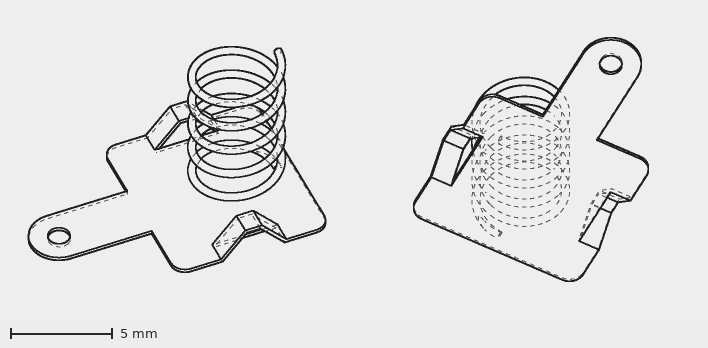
import cadquery as cq
import math

plate_width = 9.3
plate_length = 8.2
thickness = 0.2
corner_radius = 0.75

part_length = 14.0
tab_width = 3.0
tab_hole_diameter = 1.1

clip_width = 1.1
clip_length = 3.5
clip_crest_length = 0.9
clip_height = 1.7

part_height = 8.6
wire_diameter = 0.4
spring_outer_diameter = 4.8
spring_turns = 5
floor_gap = 0.01
spring_inset = 3.0

plate_back_y = plate_length / 2
tab_radius = tab_width / 2
tab_end_y = plate_back_y - part_length
tab_hole_y = tab_end_y + tab_radius

wire_radius = wire_diameter / 2
coil_radius = spring_outer_diameter / 2 - wire_radius
spring_axis_y = plate_back_y - spring_inset
spring_start_z = floor_gap + wire_radius
spring_rise = part_height - wire_radius - spring_start_z


def make_plate():
    """Rounded plate with a round-ended, pierced solder tab."""
    plate = (
        cq.Workplane("XY")
        .rect(plate_width, plate_length)
        .extrude(thickness)
        .edges("|Z")
        .fillet(corner_radius)
    )
    tab = (
        cq.Workplane("XY")
        .moveTo(-tab_radius, 0)
        .lineTo(-tab_radius, tab_hole_y)
        .threePointArc((0, tab_end_y), (tab_radius, tab_hole_y))
        .lineTo(tab_radius, 0)
        .close()
        .extrude(thickness)
    )
    tab_hole = (
        cq.Workplane("XY")
        .center(0, tab_hole_y)
        .circle(tab_hole_diameter / 2)
        .extrude(thickness)
    )
    return plate.union(tab).cut(tab_hole)


def clip_prism(points, side):
    """Extrude a YZ outline over the width of the clip on one side (-1 or +1)."""
    inner_x = plate_width / 2 - clip_width
    start_x = inner_x if side > 0 else -plate_width / 2
    return (
        cq.Workplane("YZ", origin=(start_x, 0, 0))
        .polyline(points)
        .close()
        .extrude(clip_width)
    )


def add_clip(plate, side):
    """Lance one trapezoidal clip: clear the plate below it and add the bent strip."""
    foot_y = clip_length / 2
    crest_y = clip_crest_length / 2
    leg_angle = math.atan2(clip_height - thickness, foot_y - crest_y)

    inner_crest_z = clip_height - thickness
    inner_crest_y = crest_y - thickness * math.tan(leg_angle / 2)
    inner_foot_y = inner_crest_y + inner_crest_z / math.tan(leg_angle)

    opening = [
        (-inner_foot_y, 0),
        (-inner_crest_y, inner_crest_z),
        (inner_crest_y, inner_crest_z),
        (inner_foot_y, 0),
    ]
    envelope = [
        (-inner_foot_y, 0),
        (-foot_y, thickness),
        (-crest_y, clip_height),
        (crest_y, clip_height),
        (foot_y, thickness),
        (inner_foot_y, 0),
    ]
    return plate.union(clip_prism(envelope, side)).cut(clip_prism(opening, side))


def make_spring():
    """Right-handed coil starting and ending on the +Y side of its axis."""
    helix = cq.Wire.makeHelix(spring_rise / spring_turns, spring_rise, coil_radius)
    coil = (
        cq.Workplane("XZ")
        .center(coil_radius, 0)
        .circle(wire_radius)
        .sweep(cq.Workplane(obj=helix), isFrenet=True)
    )
    start_angle = 90
    coil = coil.rotate((0, 0, 0), (0, 0, 1), start_angle)
    return coil.translate((0, spring_axis_y, spring_start_z))


result = make_plate()
for clip_side in (-1, 1):
    result = add_clip(result, clip_side)
result = result.union(make_spring())